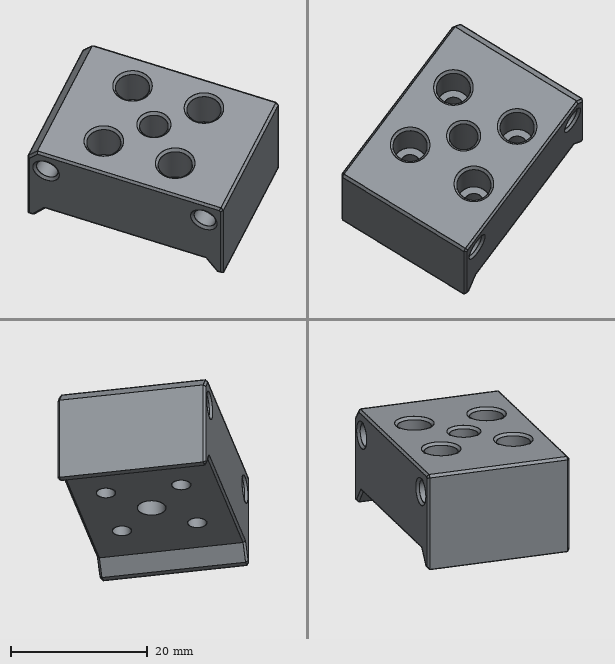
import cadquery as cq

length = 30.8
width = 22.18
height = 14.75

end_bevel_run = 1.45
end_bevel_drop = 1.7
top_edge_chamfer = 0.4
foot_width = 0.95
channel_depth = 2.3
channel_wall_run = 1.82
face_chamfer = 0.35

hole_chamfer = 0.4
cross_hole_diameter = 3.4
cross_hole_inset = 2.95
cross_hole_drop = 3.55
center_hole_diameter = 4.2
screw_hole_diameter = 2.8
counterbore_diameter = 5.0
counterbore_depth = 6.15
screw_spacing = 11.27
pattern_y = 0.25

half_length = length / 2


def make_body():
    """Extrude the footed profile along Y and chamfer both Y faces."""
    sole_edge = half_length - foot_width
    channel_edge = sole_edge - channel_wall_run
    outline = [
        (-half_length, 0),
        (-sole_edge, 0),
        (-channel_edge, channel_depth),
        (channel_edge, channel_depth),
        (sole_edge, 0),
        (half_length, 0),
        (half_length, height - top_edge_chamfer),
        (half_length - top_edge_chamfer, height),
        (-half_length + end_bevel_run, height),
        (-half_length, height - end_bevel_drop),
    ]
    profile = cq.Workplane("XZ").polyline(outline).close()
    body = profile.extrude(width / 2, both=True)
    return body.faces("<Y or >Y").chamfer(face_chamfer)


def countersink_cutter(diameter):
    """Cone at the origin, widest at z = 0 and narrowing downward to the hole diameter."""
    radius = diameter / 2
    return cq.Workplane("XY").add(
        cq.Solid.makeCone(radius, radius + hole_chamfer, hole_chamfer, cq.Vector(0, 0, -hole_chamfer))
    )


def bore_cutter(diameter, depth):
    """Countersunk hole that starts at z = 0 and runs downward."""
    bore = cq.Workplane("XY").circle(diameter / 2).extrude(-depth)
    return bore.union(countersink_cutter(diameter))


def cut_cross_holes(body):
    """Two holes along Y, countersunk at both ends."""
    half_bore = bore_cutter(cross_hole_diameter, width / 2).translate((0, 0, width / 2))
    bore = half_bore.union(half_bore.mirror("XY")).rotate((0, 0, 0), (1, 0, 0), 90)
    for side in (-1, 1):
        x = side * (half_length - cross_hole_inset)
        body = body.cut(bore.translate((x, 0, height - cross_hole_drop)))
    return body


def cut_top_holes(body):
    """Central through hole and four counterbored screw holes from the top face."""
    body = body.cut(bore_cutter(center_hole_diameter, height).translate((0, pattern_y, height)))
    screw_hole = cq.Workplane("XY").circle(screw_hole_diameter / 2).extrude(-height)
    screw_hole = screw_hole.union(bore_cutter(counterbore_diameter, counterbore_depth))
    offset = screw_spacing / 2
    for x in (-offset, offset):
        for y in (pattern_y - offset, pattern_y + offset):
            body = body.cut(screw_hole.translate((x, y, height)))
    return body


result = cut_top_holes(cut_cross_holes(make_body()))